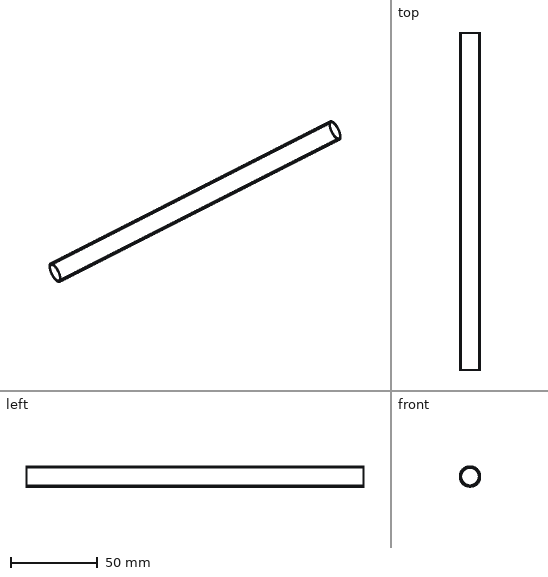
import cadquery as cq

length = 195.0
outer_diameter = 12.0
wall_thickness = 1.07
inner_diameter = outer_diameter - 2 * wall_thickness

result = (
    cq.Workplane("XZ", origin=(0, length / 2, 0))
    .circle(outer_diameter / 2)
    .circle(inner_diameter / 2)
    .extrude(length)
)